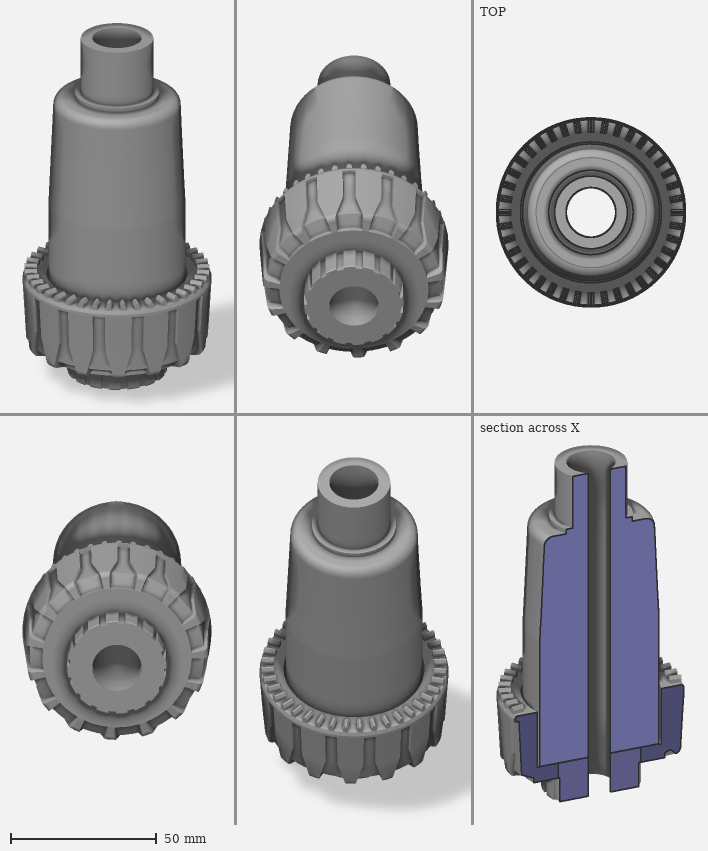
import cadquery as cq

total_height = 124.9
nut_bottom = 9.2
joint_height = 15.0
nut_face = 36.3
cone_bottom = 63.5
shoulder_height = 103.2
collar_top = 104.9

bore_diameter = 17.0
pipe_diameter = 25.0
collar_diameter = 29.0
shoulder_diameter = 43.8
housing_diameter = 47.1
shoulder_face_diameter = 37.8
shoulder_round_height = 3.1

tail_diameter = 34.3
tail_foot_diameter = 33.8
tail_bevel_height = 0.5
tail_groove_count = 16
tail_groove_width = 2.5
tail_groove_depth = 1.0

nut_diameter = 65.0
nut_bore_diameter = 48.5
rim_bottom = 34.1
rim_edge = 35.1
face_radius = 31.8
rib_foot_radius = 31.2
rib_foot_height = 12.4
rib_round = 2.4
foot_radius = 25.6
foot_step_height = 11.1
groove_floor_top_radius = 31.0
groove_floor_foot_radius = 30.0
groove_floor_foot_height = 13.1

grip_groove_count = 15
groove_narrow_width = 4.4
groove_wide_width = 11.1
groove_flare_height = 20.6
groove_cut_radius = 37.5

tooth_count = 40
tooth_inner_radius = 27.6
tooth_width = 1.9
tooth_tip_width = 0.6
tooth_height = 2.4
tooth_bevel_height = 1.0


def cylinder(diameter, bottom, top):
    return cq.Workplane("XY").workplane(offset=bottom).circle(diameter / 2).extrude(top - bottom)


def revolve_about_z(profile):
    """Revolve a closed radius-height profile about the Z axis."""
    return profile.close().revolve(360, (0, 0, 0), (0, 1, 0))


def ring_of(body, count):
    """Copies of a body evenly spaced around the Z axis."""
    step = 360.0 / count
    copies = [body.rotate((0, 0, 0), (0, 0, 1), i * step).val() for i in range(count)]
    return cq.Workplane("XY").newObject(copies)


def cut_all(body, tools):
    return cq.Workplane(body.val().cut(*tools.vals()))


def make_housing():
    """Straight skirt, tapered dome, collar and outlet pipe with a through bore."""
    round_start = (shoulder_diameter / 2, shoulder_height - shoulder_round_height)
    round_end = (shoulder_face_diameter / 2, shoulder_height)
    outline = (
        cq.Workplane("XZ")
        .moveTo(0, joint_height)
        .lineTo(housing_diameter / 2, joint_height)
        .lineTo(housing_diameter / 2, cone_bottom)
        .lineTo(*round_start)
        .tangentArcPoint(round_end, relative=False)
        .lineTo(collar_diameter / 2, shoulder_height)
        .lineTo(collar_diameter / 2, collar_top)
        .lineTo(pipe_diameter / 2, collar_top)
        .lineTo(pipe_diameter / 2, total_height)
        .lineTo(0, total_height)
    )
    return revolve_about_z(outline).cut(cylinder(bore_diameter, joint_height, total_height))


def make_tailpiece():
    """Sleeve with shallow axial grooves on the part that shows below the nut."""
    outline = (
        cq.Workplane("XZ")
        .moveTo(bore_diameter / 2, 0)
        .lineTo(tail_foot_diameter / 2, 0)
        .lineTo(tail_diameter / 2, tail_bevel_height)
        .lineTo(tail_diameter / 2, joint_height)
        .lineTo(bore_diameter / 2, joint_height)
    )
    sleeve = revolve_about_z(outline)
    groove = (
        cq.Workplane("XY")
        .center(0, -tail_diameter / 2)
        .rect(tail_groove_width, 2 * tail_groove_depth)
        .extrude(nut_bottom)
    )
    return cut_all(sleeve, ring_of(groove, tail_groove_count))


def make_nut_core():
    """Nut body at the depth of the groove floors, with its full rim on top."""
    outline = (
        cq.Workplane("XZ")
        .moveTo(0, nut_bottom)
        .lineTo(foot_radius, nut_bottom)
        .lineTo(foot_radius, foot_step_height)
        .lineTo(groove_floor_foot_radius, groove_floor_foot_height)
        .lineTo(groove_floor_top_radius, rim_bottom)
        .lineTo(nut_diameter / 2, rim_bottom)
        .lineTo(nut_diameter / 2, rim_edge)
        .lineTo(face_radius, nut_face)
        .lineTo(0, nut_face)
    )
    return revolve_about_z(outline)


def grip_groove_section(radius):
    """Groove outline on the tangent plane at the given radius, sized in proportion to it."""
    half_narrow = groove_narrow_width / nut_diameter * radius
    half_wide = groove_wide_width / nut_diameter * radius
    section = (
        cq.Workplane("XZ", origin=(0, -radius, 0))
        .polyline([
            (-half_wide, nut_bottom),
            (half_wide, nut_bottom),
            (half_narrow, groove_flare_height),
            (half_narrow, rim_bottom),
            (-half_narrow, rim_bottom),
            (-half_narrow, groove_flare_height),
        ])
        .close()
    )
    return section.wire().val()


def make_grip_groove():
    """Cutter with radial side walls that flares towards the foot of the nut."""
    sections = [grip_groove_section(nut_bore_diameter / 2), grip_groove_section(groove_cut_radius)]
    return cq.Workplane(cq.Solid.makeLoft(sections, True))


def make_grip_ribs():
    """Tapered ring with a rounded foot, split into ribs by the grip grooves."""
    ring_outline = (
        cq.Workplane("XZ")
        .moveTo(0, nut_bottom)
        .lineTo(foot_radius, nut_bottom)
        .lineTo(rib_foot_radius - rib_round, rib_foot_height - rib_round)
        .radiusArc((rib_foot_radius, rib_foot_height), -rib_round)
        .lineTo(nut_diameter / 2, rim_bottom)
        .lineTo(0, rim_bottom)
    )
    ring = revolve_about_z(ring_outline).cut(cylinder(nut_bore_diameter, nut_bottom, rim_bottom))
    return cut_all(ring, ring_of(make_grip_groove(), grip_groove_count))


def make_teeth():
    """Radial teeth with bevelled tips standing on the top face of the nut."""
    half_base = tooth_width / 2
    half_tip = tooth_tip_width / 2
    bevel_start = tooth_height - tooth_bevel_height
    tooth = (
        cq.Workplane("XZ", origin=(0, -tooth_inner_radius, nut_face))
        .polyline([
            (-half_base, 0),
            (half_base, 0),
            (half_base, bevel_start),
            (half_tip, tooth_height),
            (-half_tip, tooth_height),
            (-half_base, bevel_start),
        ])
        .close()
        .extrude(face_radius - tooth_inner_radius)
    )
    return ring_of(tooth, tooth_count)


def make_nut():
    """Grip nut whose floor fits round the tailpiece and carries the housing."""
    core = make_nut_core().val()
    nut = cq.Workplane(core.fuse(*make_grip_ribs().vals(), *make_teeth().vals()))
    nut = nut.cut(cylinder(nut_bore_diameter, joint_height, nut_face))
    return nut.cut(cylinder(tail_diameter, nut_bottom, joint_height))


housing = make_housing()
tailpiece = make_tailpiece()
nut = make_nut()

result = cq.Compound.makeCompound([housing.val(), tailpiece.val(), nut.val()])